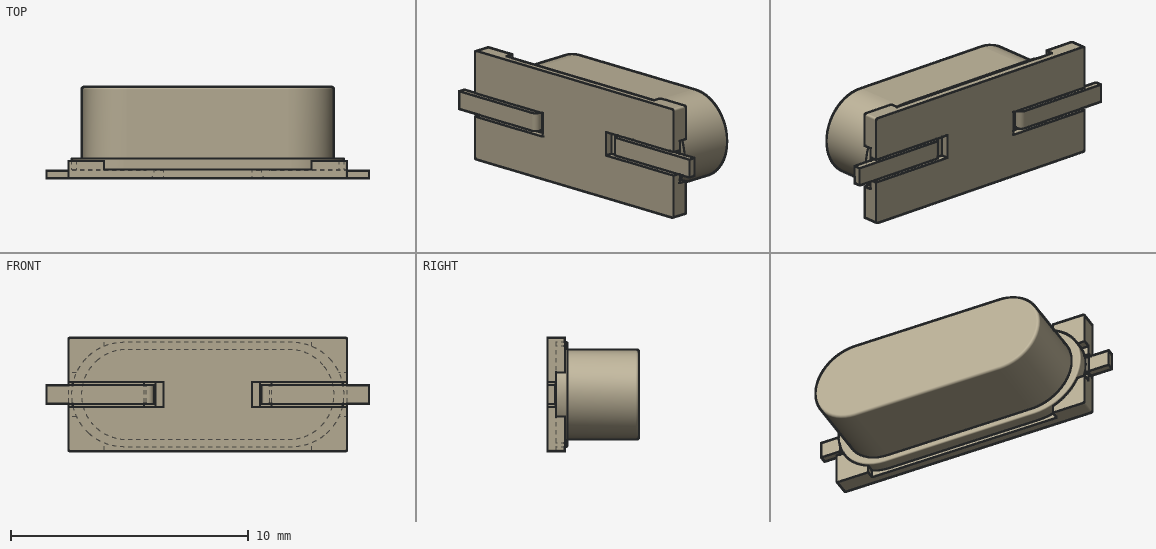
import cadquery as cq


PLATE_LENGTH = 11.73
PLATE_HEIGHT = 4.8
PLATE_FRONT = 0.0
PLATE_BACK = 0.73
PLATE_CORNER = 0.1

RECESS_FLOOR = 0.37
WINDOW_LENGTH = 8.72
WINDOW_HEIGHT = 1.86

SLOT_HEIGHT = 1.03
SLOT_INNER_X = 1.86
SLOT_FLOOR = 0.34
HOLE_INNER_X = 2.2
HOLE_OUTER_X = 2.69

CAN_STRAIGHT = 6.82
CAN_RADIUS = 1.9
CAN_BACK = 3.85
CAN_EDGE_RADIUS = 0.12
FLANGE_STRAIGHT = 7.06
FLANGE_RADIUS = 2.2
FLANGE_BACK = 0.84
FLANGE_EDGE_RADIUS = 0.07

LEAD_SPAN = 13.58
LEAD_WIDTH = 0.79
LEAD_THICKNESS = 0.33
LEAD_INNER_X = 2.27
LEAD_BEND_RADIUS = 0.22

SIDES = (-1, 1)


def box_between(x_start, x_end, y_start, y_end, height):
    """Box between two X and two Y positions, centred on Z = 0."""
    return (
        cq.Workplane("XY", origin=(0, 0, -height / 2))
        .moveTo(x_start, y_start)
        .lineTo(x_end, y_start)
        .lineTo(x_end, y_end)
        .lineTo(x_start, y_end)
        .close()
        .extrude(height)
    )


def racetrack(straight, radius, y_start, y_end):
    """Round-ended bar along X, extruded from y_start to y_end."""
    return (
        cq.Workplane("XZ", origin=(0, y_start, 0))
        .slot2D(straight + 2 * radius, 2 * radius)
        .extrude(y_start - y_end)
    )


def make_plate():
    half_length = PLATE_LENGTH / 2
    plate = box_between(-half_length, half_length, PLATE_FRONT, PLATE_BACK, PLATE_HEIGHT)
    plate = plate.edges("|Y").fillet(PLATE_CORNER)
    plate = plate.cut(racetrack(FLANGE_STRAIGHT, FLANGE_RADIUS, RECESS_FLOOR, PLATE_BACK))
    half_window = WINDOW_LENGTH / 2
    plate = plate.cut(box_between(-half_window, half_window, RECESS_FLOOR, PLATE_BACK, PLATE_HEIGHT))
    plate = plate.cut(box_between(-half_length, half_length, RECESS_FLOOR, PLATE_BACK, WINDOW_HEIGHT))
    for side in SIDES:
        slot = box_between(side * SLOT_INNER_X, side * half_length, PLATE_FRONT, SLOT_FLOOR, SLOT_HEIGHT)
        hole = box_between(side * HOLE_INNER_X, side * HOLE_OUTER_X, PLATE_FRONT, RECESS_FLOOR, SLOT_HEIGHT)
        plate = plate.cut(slot).cut(hole)
    return plate


def make_lead(side):
    """Lead running out along X, turned up at its inner end to meet the flange."""
    run = box_between(side * LEAD_INNER_X, side * LEAD_SPAN / 2, 0, LEAD_THICKNESS, LEAD_WIDTH)
    riser_outer_x = LEAD_INNER_X + LEAD_THICKNESS
    riser = box_between(side * LEAD_INNER_X, side * riser_outer_x, 0, RECESS_FLOOR, LEAD_WIDTH)
    inner_edge = "<X" if side > 0 else ">X"
    return run.union(riser).faces(inner_edge).edges("<Y").fillet(LEAD_BEND_RADIUS)


def make_crystal_can():
    """Can, flange and the two leads as one metal body."""
    flange = racetrack(FLANGE_STRAIGHT, FLANGE_RADIUS, RECESS_FLOOR, FLANGE_BACK)
    flange = flange.faces(">Y").edges().fillet(FLANGE_EDGE_RADIUS)
    can = racetrack(CAN_STRAIGHT, CAN_RADIUS, RECESS_FLOOR, CAN_BACK)
    can = can.faces(">Y").edges().fillet(CAN_EDGE_RADIUS)
    body = flange.union(can)
    for side in SIDES:
        body = body.union(make_lead(side))
    return body


plate = make_plate()
crystal_can = make_crystal_can()

result = cq.Compound.makeCompound([plate.solids().val(), crystal_can.solids().val()])